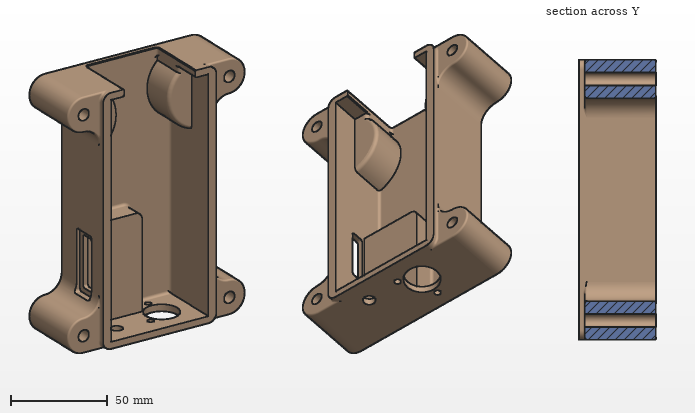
import cadquery as cq
import math

height = 145.0
depth = 40.0
flange_depth = 37.0
lobe_radius = 10.0
screw_y = 45.02
screw_z = height / 2 - lobe_radius
screw_diameter = 6.5
waist_half_width = screw_y - lobe_radius
frame_corner_radius = 5.0
edge_break = 1.0
selection_margin = 0.01

floor_x = 4.0
wall = 5.0
floor_fillet = 1.6
cavity_half_width = waist_half_width - wall
end_wall = 4.0
cavity_half_height = height / 2 - end_wall

opening_half_width = 22.0
opening_chamfer = 0.5
opening_corner_radius = 1.5

shoulder_x = 24.0
shoulder_edge_radius = 2.0
bulge_radius = 20.0
bulge_y = 35.7
bulge_z = 50.5

pad_x = 16.2
pad_top_z = -12.0
pad_end_y = 4.6
pad_corner_radius = 4.0

window_x = 22.0
window_z = -30.0
window_width = 8.0
window_height = 30.0
window_corner_radius = 1.5
recess_border = 3.0
recess_depth = 2.0

end_holes = [
    (22.0, 12.9, 19.3),
    (9.3, 12.9, 3.5),
    (28.5, 1.9, 3.5),
    (27.1, -18.1, 6.5),
]


def box(x_range, y_range, z_range):
    """Block between pairs of limits along each axis."""
    limits = (x_range, y_range, z_range)
    sizes = [high - low for low, high in limits]
    corner = cq.Vector(*[low for low, high in limits])
    return cq.Workplane(obj=cq.Solid.makeBox(*sizes, pnt=corner))


def outline():
    """Waisted plate outline with a round lobe at each corner, in the YZ plane."""
    half = height / 2
    diagonal = lobe_radius * math.sqrt(0.5)
    lobe_inner_z = screw_z - lobe_radius
    neck_z = lobe_inner_z - lobe_radius
    return (
        cq.Workplane("YZ")
        .moveTo(-screw_y, half)
        .lineTo(screw_y, half)
        .threePointArc((screw_y + lobe_radius, screw_z), (screw_y, lobe_inner_z))
        .threePointArc((screw_y - diagonal, neck_z + diagonal), (waist_half_width, neck_z))
        .lineTo(waist_half_width, -neck_z)
        .threePointArc((screw_y - diagonal, -neck_z - diagonal), (screw_y, -lobe_inner_z))
        .threePointArc((screw_y + lobe_radius, -screw_z), (screw_y, -half))
        .lineTo(-screw_y, -half)
        .threePointArc((-screw_y - lobe_radius, -screw_z), (-screw_y, -lobe_inner_z))
        .threePointArc((-screw_y + diagonal, -neck_z - diagonal), (-waist_half_width, -neck_z))
        .lineTo(-waist_half_width, neck_z)
        .threePointArc((-screw_y + diagonal, neck_z + diagonal), (-screw_y, lobe_inner_z))
        .threePointArc((-screw_y - lobe_radius, screw_z), (-screw_y, half))
        .close()
    )


def make_body():
    """Lobed flange with rounded rims, and a rectangular frame standing proud of it."""
    flange = outline().extrude(flange_depth)
    flange = flange.faces("<X").edges().fillet(edge_break)
    flange = flange.faces(">X").edges().fillet(edge_break)
    frame = (
        box((floor_x, depth), (-waist_half_width, waist_half_width), (-height / 2, height / 2))
        .edges("|X").fillet(frame_corner_radius)
    )
    body = flange.union(frame)
    frame_foot = cq.selectors.BoxSelector(
        (flange_depth - selection_margin, -waist_half_width - selection_margin, -height / 2),
        (flange_depth + selection_margin, waist_half_width + selection_margin, height / 2),
        boundingbox=True,
    )
    return body.edges(frame_foot).fillet(edge_break)


def make_cavity():
    """Hollow inside the walls, shaped around the pad and rounded along the floor."""
    cavity = box(
        (floor_x, depth),
        (-cavity_half_width, cavity_half_width),
        (-cavity_half_height, cavity_half_height),
    )
    return cavity.cut(make_pad()).faces("<X").edges().fillet(floor_fillet)


def make_shoulder(side):
    """Raised area at one side of the +Z end, continued downward by a round bulge."""
    y_limits = sorted((side * opening_half_width, side * waist_half_width))
    corner = box((0, shoulder_x), y_limits, (bulge_z, height / 2))
    bulge = (
        cq.Workplane("YZ")
        .center(side * bulge_y, bulge_z)
        .circle(bulge_radius).extrude(shoulder_x)
    )
    return corner.union(bulge).faces(">X").edges().fillet(shoulder_edge_radius)


def make_pad():
    """Pad from the -Y wall, with its free top corner rounded."""
    pad = box((0, pad_x), (-waist_half_width, pad_end_y), (-height / 2, pad_top_z))
    return pad.edges("|X and >Y and >Z").fillet(pad_corner_radius)


def make_opening():
    """Passage through the +Z end wall, flared at both ends and open toward +X."""
    y_limits = (-opening_half_width, opening_half_width)
    flare_half_width = opening_half_width + opening_chamfer
    flare_y_limits = (-flare_half_width, flare_half_width)
    z_limits = (cavity_half_height - floor_fillet, height / 2)
    passage = box((floor_x, depth), y_limits, z_limits)
    passage = passage.edges("|Z and <X").fillet(opening_corner_radius)
    mouth = box(
        (floor_x - opening_chamfer, depth),
        flare_y_limits,
        (height / 2 - opening_chamfer, height / 2 + opening_chamfer),
    )
    mouth = mouth.edges("|Z and <X").fillet(opening_corner_radius + opening_chamfer)
    mouth = mouth.faces("<Z").edges("not >X").chamfer(opening_chamfer)
    underside_flare = box(
        (shoulder_x, depth),
        flare_y_limits,
        (cavity_half_height - opening_chamfer, cavity_half_height + opening_chamfer),
    )
    underside_flare = underside_flare.edges("|X and >Z").chamfer(opening_chamfer)
    return passage.union(mouth).union(underside_flare)


def make_window():
    """Stepped window: a shallow recess around a slot that reaches the cavity."""
    outer_face = cq.Workplane("XZ", origin=(window_x, -waist_half_width, window_z))
    slot = (
        outer_face.rect(window_width, window_height)
        .extrude(-wall).edges("|Y").fillet(window_corner_radius)
    )
    recess_width = window_width + 2 * recess_border
    recess_height = window_height + 2 * recess_border
    recess = (
        outer_face.workplane(offset=lobe_radius).rect(recess_width, recess_height)
        .extrude(-lobe_radius - recess_depth).edges("|Y").fillet(window_corner_radius)
    )
    return slot.union(recess)


def make_screw_holes():
    """Through hole along X at the center of each lobe."""
    return (
        cq.Workplane("YZ").rect(2 * screw_y, 2 * screw_z, forConstruction=True).vertices()
        .circle(screw_diameter / 2).extrude(depth)
    )


cavity = make_cavity()
for side in (-1, 1):
    cavity = cavity.cut(make_shoulder(side))

result = make_body().cut(cavity).cut(make_opening()).cut(make_window()).cut(make_screw_holes())

for x, y, diameter in end_holes:
    hole = cq.Workplane("XY", origin=(x, y, -height / 2)).circle(diameter / 2).extrude(end_wall)
    result = result.cut(hole)